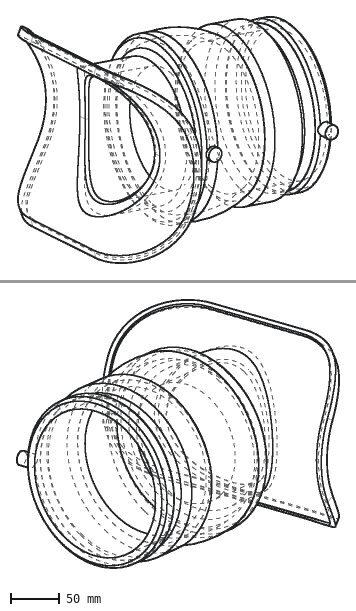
import math
import cadquery as cq


saddle_length = 290.0
saddle_height = 207.5
saddle_inner_radius = 99.0
saddle_rim_radius = 108.5
saddle_plain_radius = 105.5
rim_width = 6.5
corner_length = 83.2
saddle_half_angle = math.asin(saddle_height / 2 / saddle_rim_radius)
corner_start_angle = math.radians(25)
saddle_axis_y = -saddle_inner_radius * math.cos(saddle_half_angle)
tool_margin = 8.7
corner_points = 9

tube_shoulder_y = 102.7
band_front_y = 110.0
band_back_y = 127.0
ball_center_y = 141.8
sleeve_front_y = 191.5
sleeve_back_y = 239.8
collar_front_y = 252.5
collar_back_y = 272.0

tube_radius = 157.0 / 2
band_radius = 100.3
ball_radius = 101.2
neck_radius = 176.0 / 2
sleeve_radius = 192.0 / 2
sleeve_bevel = 7.5
collar_radius = 92.2
collar_bevel = 3.8
band_bevel = 4.0
shoulder_bevel = band_front_y - tube_shoulder_y

bore_radius = 65.2
bore_mouth_radius = 136.0 / 2
bore_end_y = 122.7
cavity_radius = 92.8
outlet_radius = 160.0 / 2

stud_diameter = 15.7
stud_tip_x = 105.0
stud_root_x = 84.0
rear_stud_y = (collar_front_y + collar_back_y) / 2
front_stud_y = 121.0


def saddle_cylinder(radius):
    """Solid cylinder about the saddle axis, longer than the saddle."""
    length = saddle_length + 2 * tool_margin
    return (
        cq.Workplane("YZ", origin=(-length / 2, saddle_axis_y, 0))
        .circle(radius)
        .extrude(length)
    )


def on_cylinder(x, angle, radius):
    """Point at an angle from +Y on a cylinder about the saddle axis."""
    return cq.Vector(x, saddle_axis_y + radius * math.cos(angle), radius * math.sin(angle))


def outline_edges(radius, inset):
    """Rounded outline wrapped on a cylinder, moved inward by an arc length."""
    end_x = saddle_length / 2 - inset
    flat_x = saddle_length / 2 - corner_length
    inset_angle = inset / saddle_rim_radius
    side_angle = corner_start_angle
    end_angle = saddle_half_angle - inset_angle

    def corner(x_sign, z_sign):
        points = []
        for i in range(corner_points):
            turn = math.pi / 2 * i / (corner_points - 1)
            x = flat_x + (end_x - flat_x) * math.cos(turn)
            angle = side_angle + (end_angle - side_angle) * math.sin(turn)
            points.append(on_cylinder(x_sign * x, z_sign * angle, radius))
        return cq.Edge.makeSpline(points)

    edges = [corner(x_sign, z_sign) for x_sign in (1, -1) for z_sign in (1, -1)]
    for sign in (1, -1):
        edges.append(
            cq.Edge.makeThreePointArc(
                on_cylinder(sign * end_x, -side_angle, radius),
                on_cylinder(sign * end_x, 0, radius),
                on_cylinder(sign * end_x, side_angle, radius),
            )
        )
        edges.append(
            cq.Edge.makeLine(
                on_cylinder(-flat_x, sign * end_angle, radius),
                on_cylinder(flat_x, sign * end_angle, radius),
            )
        )
    return edges


def curved_plate(inner_radius, outer_radius, inset):
    """Piece of cylinder wall inside the outline, with edges square to the wall."""
    inner_edges = outline_edges(inner_radius - tool_margin, inset)
    outer_edges = outline_edges(outer_radius + tool_margin, inset)
    walls = [cq.Face.makeRuledSurface(a, b) for a, b in zip(inner_edges, outer_edges)]
    ring = saddle_cylinder(outer_radius).cut(saddle_cylinder(inner_radius)).val()
    pieces = ring.split(*walls).Solids()
    return cq.Workplane(max(pieces, key=lambda piece: piece.Center().y))


def make_saddle():
    plate = curved_plate(saddle_inner_radius, saddle_rim_radius, 0)
    recess = curved_plate(saddle_plain_radius, saddle_rim_radius + tool_margin, rim_width)
    tube_hole = cq.Workplane("XZ").circle(tube_radius).extrude(-tube_shoulder_y)
    return plate.cut(recess).cut(tube_hole)


def make_outer_shape():
    """Revolved outside of the valve body."""
    ball_front_radius = math.sqrt(ball_radius**2 - (ball_center_y - band_back_y) ** 2)
    ball_back_y = ball_center_y + math.sqrt(ball_radius**2 - neck_radius**2)
    return (
        cq.Workplane("XY")
        .moveTo(0, 0)
        .lineTo(tube_radius, 0)
        .lineTo(tube_radius, tube_shoulder_y)
        .lineTo(tube_radius + shoulder_bevel, band_front_y)
        .lineTo(band_radius - band_bevel, band_front_y)
        .lineTo(band_radius, band_front_y + band_bevel)
        .lineTo(band_radius, band_back_y)
        .lineTo(ball_front_radius, band_back_y)
        .threePointArc((ball_radius, ball_center_y), (neck_radius, ball_back_y))
        .lineTo(neck_radius, sleeve_front_y)
        .lineTo(sleeve_radius, sleeve_front_y + sleeve_bevel)
        .lineTo(sleeve_radius, sleeve_back_y - sleeve_bevel)
        .lineTo(neck_radius, sleeve_back_y)
        .lineTo(neck_radius, collar_front_y)
        .lineTo(collar_radius - collar_bevel, collar_front_y)
        .lineTo(collar_radius, collar_front_y + collar_bevel)
        .lineTo(collar_radius, collar_back_y - collar_bevel)
        .lineTo(collar_radius - collar_bevel, collar_back_y)
        .lineTo(0, collar_back_y)
        .close()
        .revolve(360, (0, 0, 0), (0, 1, 0))
    )


def make_stud(y):
    return (
        cq.Workplane("YZ", origin=(stud_root_x, y, 0))
        .circle(stud_diameter / 2)
        .extrude(stud_tip_x - stud_root_x)
    )


def make_passage():
    """Round bore opening into a ball-shaped cavity, then the outlet."""
    floor_radius = math.sqrt(cavity_radius**2 - (ball_center_y - bore_end_y) ** 2)
    outlet_join = math.sqrt(cavity_radius**2 - outlet_radius**2)
    return (
        cq.Workplane("XY")
        .moveTo(0, 0)
        .lineTo(bore_radius, 0)
        .lineTo(bore_radius, bore_end_y)
        .lineTo(floor_radius, bore_end_y)
        .threePointArc((cavity_radius, ball_center_y), (outlet_radius, ball_center_y + outlet_join))
        .lineTo(outlet_radius, collar_back_y)
        .lineTo(0, collar_back_y)
        .close()
        .revolve(360, (0, 0, 0), (0, 1, 0))
    )


def make_valve_body():
    body = make_outer_shape()
    for y in (front_stud_y, rear_stud_y):
        body = body.union(make_stud(y))
    body = body.cut(make_passage())
    body = body.cut(saddle_cylinder(saddle_inner_radius))
    mouth = body.edges(cq.selectors.BoxSelector(
        (-bore_mouth_radius, 0, -bore_mouth_radius),
        (bore_mouth_radius, tube_shoulder_y, bore_mouth_radius),
        boundingbox=True,
    )).edges("not #Y").edges("not |Y")
    return mouth.chamfer(bore_mouth_radius - bore_radius)


saddle = make_saddle()
valve_body = make_valve_body()
result = cq.Compound.makeCompound([saddle.val(), valve_body.val()])